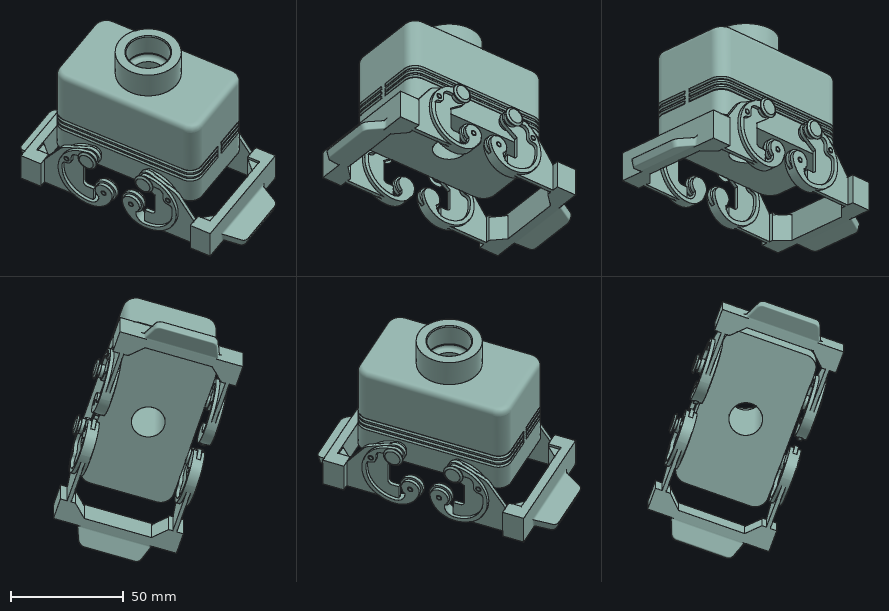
import cadquery as cq
import math


HOOD_LENGTH = 73.5
HOOD_WIDTH = 43.3
HOOD_HEIGHT = 45.2
HOOD_CORNER_RADIUS = 6.2
HOOD_TOP_FILLET = 3.1

GROOVE_CENTRES_Z = (13.1, 15.6, 18.1)
GROOVE_WIDTH = 1.6
GROOVE_DEPTH = 0.7
GROOVE_GAP = 2.8

ENTRY_RADIUS = 14.7
ENTRY_TOP = 58.2
BORE_RADIUS = 9.9
BORE_MOUTH_CHAMFER = 0.5
BORE_WALL_BOTTOM = 47.8
UNDERCUT_RADIUS = 10.4
UNDERCUT_Z = 46.8
BORE_FLOOR_RADIUS = 8.8
BORE_FLOOR_Z = 44.8
CABLE_HOLE_RADIUS = 7.5

LEVER_MID_Y = 24.5
PLATE_THICKNESS = 1.9
CHEEK_THICKNESS = 5.2

PIN_X, PIN_Z = -14.5, 7.6
PIN_RADIUS = 2.6
PIN_INNER_Y = 20.9
PIN_HEAD_RADIUS = 4.7
PIN_FACE_RADIUS = 3.6
PIN_HEAD_Y = 28.5
PIN_RIM_THICKNESS = 0.2
PIN_BEVEL = 0.76
PIN_END_Y = PIN_HEAD_Y + PIN_RIM_THICKNESS + PIN_BEVEL

PLATE_EYE_RADIUS = 4.3
PLATE_PEAK = (-29.3, 5.9)
PLATE_PEAK_FILLET = 6.5
PLATE_INNER_X = -18.4
PLATE_NECK_Z = -0.3
PLATE_STEP_Z = -12.0
PLATE_STEP_FILLET = 1.9
PLATE_END_X = -13.1

CHEEK_EYE_RADIUS = 3.5
BAND_CENTRE_Z = -5.0
BAND_OUTER_RADIUS = 15.8
BAND_INNER_RADIUS = 13.7
BAND_TOP_INNER_Z = 6.6
HOOK_X = -14.4
HOOK_RADIUS = 4.9
LOBE_RADIUS = 2.5
LOBE_TOP_FILLET = 2.9
LOBE_BOTTOM_FILLET = 2.2

ROLLER_X, ROLLER_Z = -7.0, -10.0
ROLLER_RADIUS = 5.5
ROLLER_CHEEK_RADIUS = 4.4
LOBE_RIVET_X, LOBE_RIVET_Z = -26.0, 1.9
RIVET_RADIUS = 1.3
RIVET_HEIGHT = 0.1
RIVET_BEVEL = 0.3

BAR_OUTER_X = -48.6
BAR_WALL_X = -44.4
BAR_INNER_X = -38.4
BAR_BOTTOM = -20.4
BAR_TOP = -6.3
BAR_WIDTH = 57.2
BAR_POCKET_WIDTH = HOOD_WIDTH
GUSSET_DROP = 1.3

HANDLE_TIP_X = -58.2
HANDLE_TILT = 16.7
HANDLE_ROOT_Z = -15.9
HANDLE_THICKNESS = 4.1
HANDLE_ROOT_WIDTH = 35.4
HANDLE_TIP_WIDTH = 27.7
HANDLE_CORNER_RADIUS = 2.9
HANDLE_EDGE_FILLET = 0.6
HANDLE_ROOT_FILLET = 1.4


def polar(centre, radius, degrees):
    """Point at an angle on a circle."""
    angle = math.radians(degrees)
    return (centre[0] + radius * math.cos(angle), centre[1] + radius * math.sin(angle))


def tangent_point(point, centre, radius, side):
    """Point where a line from `point` touches a circle; side is +1 or -1."""
    dx, dz = point[0] - centre[0], point[1] - centre[1]
    spread = math.degrees(math.acos(radius / math.hypot(dx, dz)))
    return polar(centre, radius, math.degrees(math.atan2(dz, dx)) + side * spread)


def xz_plane(outward):
    """Sketch plane parallel to XZ, facing -Y, at a distance from the hood centre plane."""
    return cq.Workplane("XZ", origin=(0, -outward, 0))


def layer(thickness):
    """Sketch plane for a lever layer centred on the lever's middle plane."""
    return xz_plane(LEVER_MID_Y - thickness / 2)


def hood_outline(z):
    """Rounded rectangle of the hood walls at a height."""
    return (
        cq.Workplane("XY", origin=(0, 0, z))
        .sketch()
        .rect(HOOD_LENGTH, HOOD_WIDTH)
        .vertices()
        .fillet(HOOD_CORNER_RADIUS)
        .finalize()
    )


def make_groove(centre_z):
    """V-groove ring, interrupted in the middle of both hood ends."""
    half = GROOVE_WIDTH / 2
    taper = math.degrees(math.atan(GROOVE_DEPTH / half))
    core = hood_outline(centre_z - half).extrude(half, taper=taper)
    core = core.union(core.mirror("XY", (0, 0, centre_z)))
    gap = cq.Workplane("XY").box(2 * HOOD_LENGTH, GROOVE_GAP, GROOVE_WIDTH).translate((0, 0, centre_z))
    return hood_outline(centre_z - half).extrude(GROOVE_WIDTH).cut(core).cut(gap)


def make_bore():
    """Cable bore, slightly undercut below its wall and rounded into a flat floor."""
    rounding = (UNDERCUT_RADIUS - BORE_FLOOR_RADIUS, UNDERCUT_Z - BORE_FLOOR_Z)
    half_way = math.sqrt(0.5)
    profile = (
        cq.Workplane("XZ")
        .moveTo(0, ENTRY_TOP)
        .lineTo(BORE_RADIUS, ENTRY_TOP)
        .lineTo(BORE_RADIUS, BORE_WALL_BOTTOM)
        .lineTo(UNDERCUT_RADIUS, UNDERCUT_Z)
        .threePointArc(
            (BORE_FLOOR_RADIUS + half_way * rounding[0], UNDERCUT_Z - half_way * rounding[1]),
            (BORE_FLOOR_RADIUS, BORE_FLOOR_Z),
        )
        .lineTo(0, BORE_FLOOR_Z)
        .close()
    )
    return profile.revolve(360, (0, 0, 0), (0, 1, 0))


def make_hood():
    """Hood body with its grooves and the bored cable entry."""
    hood = hood_outline(0).extrude(HOOD_HEIGHT).faces(">Z").edges().fillet(HOOD_TOP_FILLET)
    for centre_z in GROOVE_CENTRES_Z:
        hood = hood.cut(make_groove(centre_z))
    entry = cq.Workplane("XY", origin=(0, 0, HOOD_HEIGHT)).circle(ENTRY_RADIUS)
    entry = entry.extrude(ENTRY_TOP - HOOD_HEIGHT)
    cable_hole = cq.Workplane("XY").circle(CABLE_HOLE_RADIUS).extrude(ENTRY_TOP)
    hood = hood.union(entry).cut(make_bore()).cut(cable_hole)
    mouth = cq.selectors.RadiusNthSelector(0)
    return hood.faces(">Z").edges(mouth).chamfer(BORE_MOUTH_CHAMFER)


def make_side_plate():
    """Middle layer: plate from the bar to the pin, with the roller disc."""
    pin = (PIN_X, PIN_Z)
    neck = (PLATE_INNER_X, PLATE_NECK_Z)
    sketch = layer(PLATE_THICKNESS)
    plate = (
        sketch.polyline(
            [
                (BAR_INNER_X, BAR_BOTTOM),
                (BAR_INNER_X, BAR_TOP),
                PLATE_PEAK,
                tangent_point(PLATE_PEAK, pin, PLATE_EYE_RADIUS, -1),
                pin,
                tangent_point(neck, pin, PLATE_EYE_RADIUS, 1),
                neck,
                (PLATE_INNER_X, PLATE_STEP_Z),
                (PLATE_END_X, PLATE_STEP_Z),
                (PLATE_END_X, BAR_BOTTOM),
            ]
        )
        .close()
        .extrude(PLATE_THICKNESS)
    )

    def upright_edge(x, z):
        return cq.selectors.NearestToPointSelector((x, -LEVER_MID_Y, z))

    plate = plate.edges(upright_edge(*PLATE_PEAK)).fillet(PLATE_PEAK_FILLET)
    plate = plate.edges(upright_edge(PLATE_INNER_X, PLATE_STEP_Z)).fillet(PLATE_STEP_FILLET)
    eye = sketch.center(*pin).circle(PLATE_EYE_RADIUS).extrude(PLATE_THICKNESS)
    roller = sketch.center(ROLLER_X, ROLLER_Z).circle(ROLLER_RADIUS).extrude(PLATE_THICKNESS)
    return plate.union(eye).union(roller)


def make_cheeks():
    """C-shaped hook band with the rivet lobe, the pin eye and the roller eye."""
    centre = (PIN_X, BAND_CENTRE_Z)
    roller = (ROLLER_X, ROLLER_Z)
    band_bottom = BAND_CENTRE_Z - BAND_OUTER_RADIUS
    band_bottom_inner = BAND_CENTRE_Z - BAND_INNER_RADIUS
    band_left_inner = PIN_X - BAND_INNER_RADIUS

    reach = ROLLER_X - PIN_X
    rise = ROLLER_Z - band_bottom
    tail_radius = (reach**2 + rise**2 - ROLLER_CHEEK_RADIUS**2) / (2 * (rise - ROLLER_CHEEK_RADIUS))
    tail = (PIN_X, band_bottom + tail_radius)
    tail_end_angle = math.degrees(math.atan2(ROLLER_Z - tail[1], reach))

    hook = (HOOK_X, band_bottom_inner + HOOK_RADIUS)
    span = math.hypot(ROLLER_X - hook[0], ROLLER_Z - hook[1])
    toward_roller = math.degrees(math.atan2(ROLLER_Z - hook[1], ROLLER_X - hook[0]))
    cosine = (span**2 + HOOK_RADIUS**2 - ROLLER_CHEEK_RADIUS**2) / (2 * span * HOOK_RADIUS)
    hook_end_angle = toward_roller - math.degrees(math.acos(cosine))

    lobe = (LOBE_RIVET_X, LOBE_RIVET_Z)
    lower = (lobe[0], lobe[1] - LOBE_RADIUS - LOBE_BOTTOM_FILLET)
    upper = (lobe[0] + LOBE_RADIUS + LOBE_TOP_FILLET, BAND_TOP_INNER_Z - LOBE_TOP_FILLET)

    cheeks = (
        layer(CHEEK_THICKNESS)
        .moveTo(*polar(centre, BAND_OUTER_RADIUS, 90))
        .threePointArc(polar(centre, BAND_OUTER_RADIUS, 180), polar(centre, BAND_OUTER_RADIUS, 270))
        .threePointArc(
            polar(tail, tail_radius, (tail_end_angle - 90) / 2), polar(tail, tail_radius, tail_end_angle)
        )
        .lineTo(*roller)
        .lineTo(*polar(hook, HOOK_RADIUS, hook_end_angle))
        .threePointArc(polar(hook, HOOK_RADIUS, (hook_end_angle - 90) / 2), polar(hook, HOOK_RADIUS, 270))
        .lineTo(PIN_X, band_bottom_inner)
        .threePointArc(polar(centre, BAND_INNER_RADIUS, 225), (band_left_inner, BAND_CENTRE_Z))
        .lineTo(band_left_inner, lower[1])
        .threePointArc(polar(lower, LOBE_BOTTOM_FILLET, 135), polar(lower, LOBE_BOTTOM_FILLET, 90))
        .threePointArc(polar(lobe, LOBE_RADIUS, 315), polar(lobe, LOBE_RADIUS, 0))
        .lineTo(*polar(upper, LOBE_TOP_FILLET, 180))
        .threePointArc(polar(upper, LOBE_TOP_FILLET, 135), polar(upper, LOBE_TOP_FILLET, 90))
        .lineTo(PIN_X, BAND_TOP_INNER_Z)
        .close()
        .extrude(CHEEK_THICKNESS)
    )
    pin_eye = layer(CHEEK_THICKNESS).center(PIN_X, PIN_Z).circle(CHEEK_EYE_RADIUS).extrude(CHEEK_THICKNESS)
    roller_eye = layer(CHEEK_THICKNESS).center(*roller).circle(ROLLER_CHEEK_RADIUS).extrude(CHEEK_THICKNESS)
    return cheeks.union(pin_eye).union(roller_eye)


def make_rivet(x, z):
    """Rivet head standing on the outer cheek face."""
    length = CHEEK_THICKNESS / 2 + RIVET_HEIGHT
    rivet = xz_plane(LEVER_MID_Y).center(x, z).circle(RIVET_RADIUS).extrude(length)
    return rivet.faces("<Y").chamfer(RIVET_HEIGHT, RIVET_BEVEL)


def make_pin():
    """Pivot pin reaching from inside the hood wall to a bevelled head."""
    profile = [
        (0, PIN_INNER_Y),
        (PIN_RADIUS, PIN_INNER_Y),
        (PIN_RADIUS, PIN_HEAD_Y),
        (PIN_HEAD_RADIUS, PIN_HEAD_Y),
        (PIN_HEAD_RADIUS, PIN_HEAD_Y + PIN_RIM_THICKNESS),
        (PIN_FACE_RADIUS, PIN_END_Y),
        (0, PIN_END_Y),
    ]
    pin = cq.Workplane("XY").polyline([(r, -y) for r, y in profile]).close()
    return pin.revolve(360, (0, 0, 0), (0, 1, 0)).translate((PIN_X, 0, PIN_Z))


def make_bar():
    """Cross bar with a leg at each end and a gusset in each inside corner."""
    height = BAR_TOP - BAR_BOTTOM
    leg = BAR_INNER_X - BAR_WALL_X
    floor = cq.Workplane("XY", origin=(0, 0, BAR_BOTTOM))
    bar = (
        floor.center((BAR_OUTER_X + BAR_INNER_X) / 2, 0)
        .rect(BAR_INNER_X - BAR_OUTER_X, BAR_WIDTH)
        .extrude(height)
    )
    pocket = floor.center((BAR_WALL_X + BAR_INNER_X) / 2, 0).rect(leg, BAR_POCKET_WIDTH).extrude(height)
    corner_y = -BAR_POCKET_WIDTH / 2
    gusset = (
        floor.polyline([(BAR_WALL_X, corner_y), (BAR_INNER_X, corner_y), (BAR_WALL_X, corner_y + leg)])
        .close()
        .extrude(height - GUSSET_DROP)
    )
    return bar.cut(pocket).union(gusset).union(gusset.mirror("XZ"))


def make_handle():
    """Tilted, tapered slab; it starts inside the bar and is trimmed at the bar's outer face."""
    tilt = math.radians(HANDLE_TILT)
    length = (BAR_OUTER_X - HANDLE_TIP_X) / math.cos(tilt)
    overlap = BAR_WALL_X - BAR_OUTER_X
    side_slope = (HANDLE_ROOT_WIDTH - HANDLE_TIP_WIDTH) / 2 / length
    inner_half = HANDLE_ROOT_WIDTH / 2 + overlap * side_slope
    top = cq.Plane(
        origin=(BAR_OUTER_X, 0, HANDLE_ROOT_Z),
        xDir=(math.cos(tilt), 0, math.sin(tilt)),
        normal=(-math.sin(tilt), 0, math.cos(tilt)),
    )
    slab = (
        cq.Workplane(top)
        .polyline(
            [
                (overlap, -inner_half),
                (overlap, inner_half),
                (-length, HANDLE_TIP_WIDTH / 2),
                (-length, -HANDLE_TIP_WIDTH / 2),
            ]
        )
        .close()
        .extrude(-HANDLE_THICKNESS)
    )
    for side in (-1, 1):
        tip_corner = top.toWorldCoords((-length, side * HANDLE_TIP_WIDTH / 2, -HANDLE_THICKNESS / 2))
        corner_edge = cq.selectors.NearestToPointSelector(tip_corner.toTuple())
        slab = slab.edges(corner_edge).fillet(HANDLE_CORNER_RADIUS)
    underside = cq.selectors.DirectionMinMaxSelector(top.zDir, False)
    slab = slab.faces(underside).edges().fillet(HANDLE_EDGE_FILLET)
    keep = cq.Workplane("XY").box(BAR_WIDTH, BAR_WIDTH, BAR_WIDTH)
    return slab.intersect(keep.translate((BAR_OUTER_X - BAR_WIDTH / 2, 0, BAR_BOTTOM)))


def make_grip():
    """Bar and handle, blended along the top and the sides of the handle root."""
    grip = make_bar().union(make_handle())
    margin = 0.01
    root = cq.selectors.BoxSelector(
        (BAR_OUTER_X - margin, -HANDLE_ROOT_WIDTH / 2 - margin, BAR_BOTTOM + HANDLE_EDGE_FILLET),
        (BAR_OUTER_X + margin, HANDLE_ROOT_WIDTH / 2 + margin, HANDLE_ROOT_Z + margin),
    )
    return grip.edges(root).fillet(HANDLE_ROOT_FILLET)


def make_lever():
    """Left-hand lever: bar, handle and a hook with pin at each side."""
    hook = make_side_plate().union(make_cheeks()).union(make_pin())
    for x, z in ((LOBE_RIVET_X, LOBE_RIVET_Z), (ROLLER_X, ROLLER_Z)):
        hook = hook.union(make_rivet(x, z))
    return make_grip().union(hook).union(hook.mirror("XZ"))


lever = make_lever()
result = make_hood().union(lever).union(lever.mirror("YZ"))